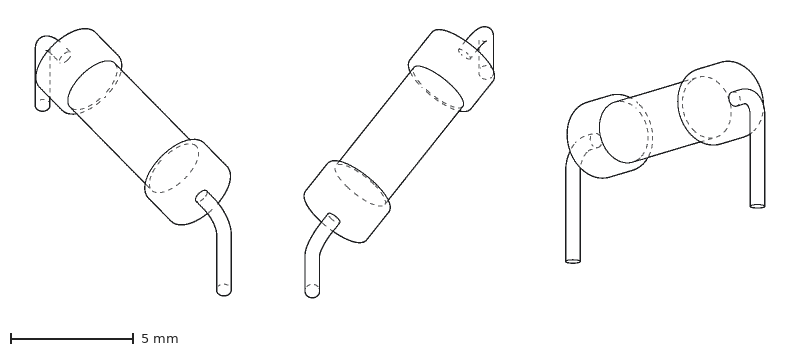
import cadquery as cq

overall_length = 12.6
lead_diameter = 0.6
bend_radius = 1.0
body_length = 9.0
body_diameter = 2.56
cap_diameter = 3.2
cap_length = 1.8
cap_edge_radius = 0.15
overall_height = 6.4

lead_x = (overall_length - lead_diameter) / 2
lead_bottom_z = cap_diameter / 2 - overall_height
cap_center_x = (body_length - cap_length) / 2


def cylinder_along_x(diameter, length, center_x=0):
    """Solid cylinder on the X axis, centred at center_x."""
    start = cq.Workplane("YZ", origin=(center_x - length / 2, 0, 0))
    return start.circle(diameter / 2).extrude(length)


def make_cap(side):
    """End cap with both rims rounded; side is -1 or +1."""
    cap = cylinder_along_x(cap_diameter, cap_length, side * cap_center_x)
    return cap.edges("%CIRCLE").fillet(cap_edge_radius)


def make_lead(side):
    """Round wire swept up from its tip, around the bend and into the cap."""
    path = (
        cq.Workplane("XZ")
        .moveTo(side * lead_x, lead_bottom_z)
        .lineTo(side * lead_x, -bend_radius)
        .tangentArcPoint((side * (lead_x - bend_radius), 0), relative=False)
        .lineTo(side * cap_center_x, 0)
    )
    tip = cq.Workplane("XY", origin=(side * lead_x, 0, lead_bottom_z))
    return tip.circle(lead_diameter / 2).sweep(path)


result = cylinder_along_x(body_diameter, 2 * cap_center_x)
for side in (-1, 1):
    result = result.union(make_cap(side)).union(make_lead(side))